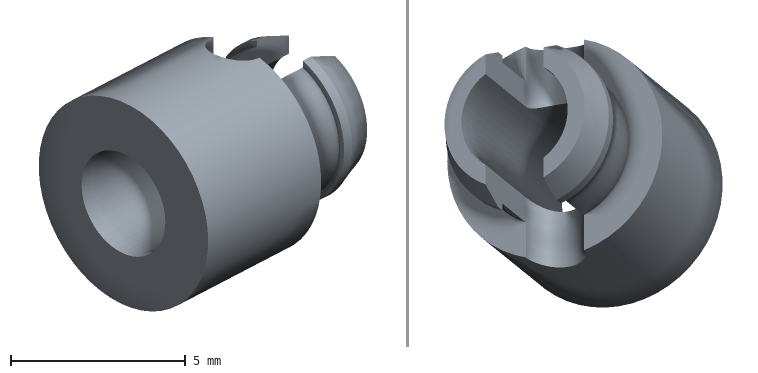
import cadquery as cq

body_diameter = 6.6
bore_diameter = 3.26
neck_diameter = 4.6
lip_diameter = 5.0
tip_diameter = 4.3

total_length = 7.94
body_length = 4.76
lip_start = 6.59
lip_width = 0.34
slot_width = 1.78

lip_end = lip_start + lip_width


def make_turned_blank():
    """Body, neck and tapered snap lip, revolved about the Y axis."""
    return (
        cq.Workplane("XY")
        .moveTo(bore_diameter / 2, 0)
        .lineTo(body_diameter / 2, 0)
        .lineTo(body_diameter / 2, body_length)
        .lineTo(neck_diameter / 2, body_length)
        .lineTo(neck_diameter / 2, lip_start)
        .lineTo(lip_diameter / 2, lip_start)
        .lineTo(lip_diameter / 2, lip_end)
        .lineTo(tip_diameter / 2, total_length)
        .lineTo(bore_diameter / 2, total_length)
        .close()
        .revolve(360, (0, 0, 0), (0, 1, 0))
    )


def make_slot():
    """Round-bottomed slot, open at the tip, with its arc centred on the shoulder."""
    half_width = slot_width / 2
    return (
        cq.Workplane("XY")
        .moveTo(-half_width, total_length)
        .lineTo(-half_width, body_length)
        .threePointArc((0, body_length - half_width), (half_width, body_length))
        .lineTo(half_width, total_length)
        .close()
        .extrude(body_diameter, both=True)
    )


result = make_turned_blank().cut(make_slot())